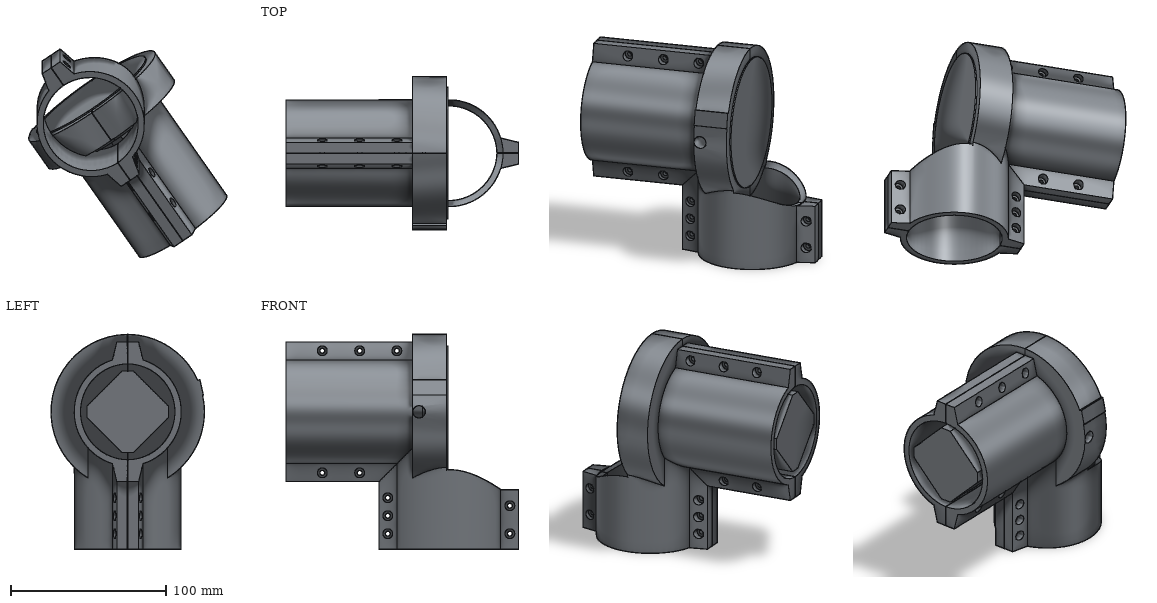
import cadquery as cq
import math

tube_radius = 35.0
wall = 4.0
bore_radius = tube_radius - wall
drop_x = 105.0
bottom_z = -88.5
split_gap = 0.3
closing_shift = 0.5

flange_reach = 45.0
flange_tip_half_width = 7.5
flange_root_half_width = 10.4
flange_root = math.sqrt(tube_radius**2 - flange_root_half_width**2)
outer_flange_top_z = -50.1

screw_offset = 39.3
screw_hole_diameter = 3.0
screw_head_diameter = 6.3
screw_seat = 4.0
arm_first_screw_x = 23.5
arm_screw_pitch = 24.0
arm_top_screw_count = 3
arm_bottom_screw_count = 2
drop_lowest_screw_z = -78.5
inner_screw_pitch = 11.5
inner_screw_count = 3
outer_screw_pitch = 18.0
outer_screw_count = 2

ring_radius = 50.0
ring_start_x = 81.6
ring_width = 22.0
ring_end_x = ring_start_x + ring_width
swing_radius = 51.0

pad_angle = 12.6
pad_length = 10.0
pad_thickness = 4.5

access_diameter = 8.0
access_x = 85.8

motor_across_flats = 42.3
motor_across_corners = 52.5
pilot_diameter = 22.0
shaft_diameter = 5.3
bulkhead_start_x = ring_start_x - wall

hub_diameter = 15.9
hub_end_x = 87.9
hub_cavity_diameter = 36.0
disc_diameter = 85.0
disc_start_x = 90.0
disc_stand_out = 0.9
disc_boss_diameter = 15.0

span = 300.0


def x_cylinder(radius, start_x, end_x):
    """A cylinder on the arm axis."""
    return cq.Workplane("YZ", origin=(start_x, 0, 0)).circle(radius).extrude(end_x - start_x)


def drop_cylinder(radius):
    """A cylinder on the drop axis, from the bottom up to the arm axis."""
    return cq.Workplane("XY", origin=(drop_x, 0, bottom_z)).circle(radius).extrude(-bottom_z)


def arm_side_of_miter():
    """Everything above the 45 degree plane through the crossing of the two tube axes."""
    return (
        cq.Workplane("XZ", origin=(drop_x, 0, 0))
        .polyline([(-span, -span), (span, span), (-span, span)])
        .close()
        .extrude(span, both=True)
    )


def flange_profile(workplane, side):
    """Tapered flange section; `side` is +1 or -1 along the second axis of the workplane."""
    return workplane.polyline(
        [
            (-flange_root_half_width, 0),
            (-flange_root_half_width, side * flange_root),
            (-flange_tip_half_width, side * flange_reach),
            (flange_tip_half_width, side * flange_reach),
            (flange_root_half_width, side * flange_root),
            (flange_root_half_width, 0),
        ]
    ).close()


def arm_flange(side):
    return flange_profile(cq.Workplane("YZ"), side).extrude(ring_start_x)


def drop_flange(side, top_z):
    plane = cq.Plane(origin=(drop_x, 0, bottom_z), xDir=(0, -1, 0), normal=(0, 0, 1))
    return flange_profile(cq.Workplane(plane), side).extrude(top_z - bottom_z)


def swing_clearance():
    """Space beside the ring in which the driven arm turns."""
    return x_cylinder(swing_radius, ring_end_x, span)


def housing_outside():
    miter = arm_side_of_miter()
    arm = x_cylinder(tube_radius, 0, ring_start_x).union(arm_flange(1)).union(arm_flange(-1))
    drop = drop_cylinder(tube_radius).union(drop_flange(-1, 0)).cut(miter).cut(swing_clearance())
    ring = x_cylinder(ring_radius, ring_start_x, ring_end_x)
    outer_drop_flange = drop_flange(1, outer_flange_top_z).cut(drop_cylinder(tube_radius))
    return arm.intersect(miter).union(drop).union(outer_drop_flange).union(ring)


def rim_pad():
    """Flat block on the -Y rim, tangent to the rim at its lower end."""
    return (
        cq.Workplane("XY")
        .box(ring_width, pad_thickness, pad_length, centered=(False, False, False))
        .translate((ring_start_x, -ring_radius, 0))
        .rotate((0, 0, 0), (1, 0, 0), -pad_angle)
    )


def tube_bores():
    """Mitered bores of both tubes, closed off by the bulkhead and the ring."""
    miter = arm_side_of_miter()
    arm_bore = x_cylinder(bore_radius, 0, bulkhead_start_x).intersect(miter)
    drop_bore = (
        drop_cylinder(bore_radius)
        .cut(miter)
        .cut(x_cylinder(tube_radius, bulkhead_start_x, ring_start_x))
        .cut(x_cylinder(ring_radius, ring_start_x, ring_end_x))
    )
    return arm_bore.union(drop_bore)


def drive_cavity():
    """Stepped hole on the arm axis for the motor pilot, the hub and the output disc."""
    return (
        x_cylinder(pilot_diameter / 2, bulkhead_start_x, ring_start_x)
        .union(x_cylinder(hub_cavity_diameter / 2, ring_start_x, disc_start_x))
        .union(x_cylinder(disc_diameter / 2, disc_start_x, ring_end_x))
    )


def screw_places():
    """(x, z) of every flange screw."""
    places = []
    for side, count in ((1, arm_top_screw_count), (-1, arm_bottom_screw_count)):
        for i in range(count):
            places.append((arm_first_screw_x + i * arm_screw_pitch, side * screw_offset))
    for side, count, pitch in (
        (-1, inner_screw_count, inner_screw_pitch),
        (1, outer_screw_count, outer_screw_pitch),
    ):
        for i in range(count):
            places.append((drop_x + side * screw_offset, drop_lowest_screw_z + i * pitch))
    return places


def screw_holes():
    """Through holes with a head recess sunk from both sides."""
    places = screw_places()
    holes = cq.Workplane("XZ").pushPoints(places).circle(screw_hole_diameter / 2)
    holes = holes.extrude(flange_reach, both=True)
    for direction in (1, -1):
        recess = cq.Workplane("XZ", origin=(0, direction * screw_seat, 0)).pushPoints(places)
        holes = holes.union(
            recess.circle(screw_head_diameter / 2).extrude(-direction * flange_root_half_width)
        )
    return holes


def access_hole():
    """Radial hole in the -Y rim."""
    return (
        cq.Workplane("XZ", origin=(access_x, 0, 0))
        .circle(access_diameter / 2)
        .extrude(2 * ring_radius)
    )


def housing_half(shell, side):
    """One half of the housing, on the +Y (side = 1) or -Y (side = -1) side of the split."""
    trim = closing_shift + split_gap / 2
    half_space = cq.Workplane("XY").box(2 * span, span, 2 * span)
    half = shell.intersect(half_space.translate((0, side * (span / 2 + trim), 0)))
    return half.translate((0, -side * closing_shift, 0)).cut(drive_cavity()).cut(screw_holes())


def motor_body():
    square = (
        cq.Workplane("YZ")
        .rect(motor_across_flats, motor_across_flats)
        .extrude(bulkhead_start_x)
        .rotate((0, 0, 0), (1, 0, 0), 45)
    )
    corner_cut = cq.Workplane("YZ").rect(motor_across_corners, motor_across_corners)
    return (
        square.intersect(corner_cut.extrude(bulkhead_start_x))
        .union(x_cylinder(pilot_diameter / 2, bulkhead_start_x, ring_start_x))
        .union(x_cylinder(shaft_diameter / 2, ring_start_x, hub_end_x))
    )


def hub_sleeve():
    sleeve = x_cylinder(hub_diameter / 2, ring_start_x, hub_end_x)
    return sleeve.cut(x_cylinder(shaft_diameter / 2, ring_start_x, hub_end_x))


def disc_with_boss():
    disc = x_cylinder(disc_diameter / 2, disc_start_x, ring_end_x + disc_stand_out)
    return disc.union(x_cylinder(disc_boss_diameter / 2, hub_end_x, disc_start_x))


shell = housing_outside().cut(tube_bores())
rear_half = housing_half(shell, 1)
front_half = housing_half(shell, -1).union(rim_pad()).cut(access_hole())
motor = motor_body()
hub = hub_sleeve()
output_disc = disc_with_boss()

result = cq.Compound.makeCompound(
    [front_half.val(), rear_half.val(), motor.val(), hub.val(), output_disc.val()]
)